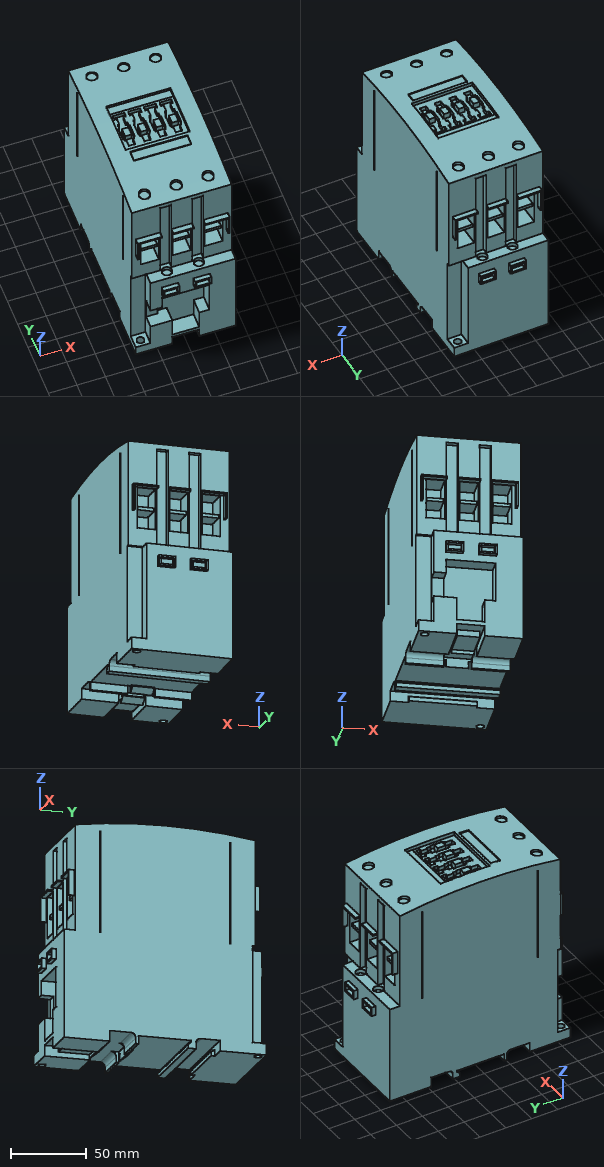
import cadquery as cq

WIDTH = 70.0
HALF_WIDTH = WIDTH / 2
HEIGHT = 152.0
BASE_HALF_LENGTH = 69.8
BASE_HEIGHT = 74.5
HEAD_HALF_LENGTH = 62.0
HEAD_EDGE_HEIGHT = 147.3
POLE_PITCH = 22.3
POLE_POSITIONS = (-POLE_PITCH, 0, POLE_PITCH)
BETWEEN_POLES = (-POLE_PITCH / 2, POLE_PITCH / 2)

SEAM_Y = 44.7
SEAM_WIDTH = 0.6
SEAM_DEPTH = 0.3
SEAM_TOP = 144.1

SLOT_WIDTH = 7.9
SLOT_DEPTH = 4.0
SLOT_TOP = 143.5
SLOT_HOLE_Y = 64.1
SLOT_HOLE_DIAMETER = 7.0
SLOT_HOLE_DEPTH = 3.0
SCREW_HOLE_Y = 51.2
SCREW_HOLE_DIAMETER = 7.6
SCREW_HOLE_FLOOR = 147.0
WINDOW_WIDTH = 12.5
WINDOW_BOTTOM = 87.2
WINDOW_TOP = 115.4
WINDOW_DEPTH = 15.2
CROSSBAR_WIDTH = 11.2
CROSSBAR_BOTTOM = 100.3
CROSSBAR_TOP = 102.6
CROSSBAR_SETBACK = 1.4
BRIM_HALF_WIDTH = 32.2
BRIM_LENGTH = 3.8
BRIM_THICKNESS = 1.0
BRIM_TOP = 116.7
BRIM_BOTTOM = 99.3

FRAME_WIDTH = 11.5
FRAME_BOTTOM = 59.1
FRAME_TOP = 66.1
FRAME_LENGTH = 3.0
FRAME_WALL = 1.2

NOTCH_WIDTH = 10.3
NOTCH_LENGTH = 9.7
LUG_HEIGHT = 7.9
LUG_HOLE_X = 30.1
LUG_HOLE_Y = 65.2
LUG_HOLE_DIAMETER = 5.2

RECESS_DEPTH = 11.0
RECESS_HALF_WIDTH = 16.5
RECESS_BOTTOM = 26.3
RECESS_TOP = 53.8
CHANNEL_HALF_WIDTH = 9.5
CHANNEL_BOTTOM = 10.3
PASSAGE_DEPTH = 8.5
PASSAGE_TOP = 44.0

SEAT_HEIGHT = 7.3
SEAT_FILLET = 3.3
REAR_SEAT = (21.1, 37.7)
FRONT_SEAT = (-38.3, -20.5)
MIDDLE_SEAT = (-18.5, 17.8)
MIDDLE_SEAT_HEIGHT = 5.5
REAR_HOOK_HALF_WIDTH = 22.8
HOOK_SHOULDER = 4.5
HOOK_LIP = 3.0
REAR_HOOK_REACH = 2.6
LEG_HOOK_REACH = 2.1

LATCH_HALF_WIDTH = 7.6
LATCH_TIP_HEIGHT = 4.1
LATCH_FOOT_HEIGHT = 0.5
LATCH_PLATE_BOTTOM = 3.0
LATCH_PLATE_FRONT = -60.8
LATCH_HOOK_LENGTH = 4.5
LATCH_TIPS = (-34.8, -14.0)
LATCH_SHOULDER_SETBACK = 2.1

POCKET_HALF_WIDTH = 22.5
POCKET_FRONT = -15.0
POCKET_BACK = 23.0
POCKET_FLOOR = 149.1
LEDGE_FRONT = 17.3
LEDGE_FLOOR = 149.3
KEYHOLE_PITCH = 11.0
KEYHOLE_COUNT = 4
KEYHOLE_DEPTH = 3.0
KEYHOLE_BACK = 15.7
KEYHOLE_STEPS = ((4.1, 12.6), (2.3, 7.8), (3.3, 4.7), (4.1, -4.3), (3.3, -5.8), (2.3, -10.8))
ACTUATOR_WIDTH = 4.5
ACTUATOR_FRONT = -3.5
ACTUATOR_BACK = 2.7
ACTUATOR_TOP = 150.3
LABEL_HALF_WIDTH = 20.0
LABEL_FRONT = -24.6
LABEL_BACK = -17.3
LABEL_FLOOR = 150.6


def block(x0, x1, y0, y1, z0, z1):
    """Box between two opposite corners."""
    return cq.Workplane("XY").box(x1 - x0, y1 - y0, z1 - z0, centered=False).translate((x0, y0, z0))


def centred_block(x, width, y0, y1, z0, z1):
    """Box whose X extent is centred on x."""
    return block(x - width / 2, x + width / 2, y0, y1, z0, z1)


def cylinder(x, y, diameter, z0, z1):
    return cq.Workplane("XY", origin=(x, y, z0)).circle(diameter / 2).extrude(z1 - z0)


def across(outline, half_width):
    """Prism along X from a closed outline given as (y, z) points."""
    return cq.Workplane("YZ").polyline(outline).close().extrude(half_width, both=True)


def both_ends(shape):
    """The shape on the front end together with its half-turn copy on the rear end."""
    return shape.union(shape.rotate((0, 0, 0), (0, 0, 1), 180))


def make_body():
    """Rectangular base with a shorter head whose top is one wide arc."""
    base = block(-HALF_WIDTH, HALF_WIDTH, -BASE_HALF_LENGTH, BASE_HALF_LENGTH, 0, BASE_HEIGHT)
    head = (
        cq.Workplane("YZ")
        .moveTo(-HEAD_HALF_LENGTH, 0)
        .lineTo(-HEAD_HALF_LENGTH, HEAD_EDGE_HEIGHT)
        .threePointArc((0, HEIGHT), (HEAD_HALF_LENGTH, HEAD_EDGE_HEIGHT))
        .lineTo(HEAD_HALF_LENGTH, 0)
        .close()
        .extrude(HALF_WIDTH, both=True)
    )
    return base.union(head)


def cut_flank_seams(body):
    for side in (-1, 1):
        for end in (-1, 1):
            body = body.cut(
                cq.Workplane("XY")
                .box(2 * SEAM_DEPTH, SEAM_WIDTH, SEAM_TOP - BASE_HEIGHT)
                .translate((side * HALF_WIDTH, end * SEAM_Y, (SEAM_TOP + BASE_HEIGHT) / 2))
            )
    return body


def make_brims():
    """Rain-cover brims over the wire windows, with a side wall at each outer end."""
    y0 = -HEAD_HALF_LENGTH - BRIM_LENGTH
    y1 = -HEAD_HALF_LENGTH
    hood = block(-BRIM_HALF_WIDTH, BRIM_HALF_WIDTH, y0, y1, BRIM_BOTTOM, BRIM_TOP)
    inner_half_width = BRIM_HALF_WIDTH - BRIM_THICKNESS
    hood = hood.cut(
        block(-inner_half_width, inner_half_width, y0, y1, BRIM_BOTTOM, BRIM_TOP - BRIM_THICKNESS)
    )
    for x in BETWEEN_POLES:
        hood = hood.cut(centred_block(x, SLOT_WIDTH, y0, y1, BRIM_BOTTOM, BRIM_TOP))
    return hood


def make_window(x):
    """Wire window of one pole, leaving a crossbar that stands on its back wall."""
    face = -HEAD_HALF_LENGTH
    back = face + WINDOW_DEPTH
    opening = centred_block(x, WINDOW_WIDTH, face, back, WINDOW_BOTTOM, WINDOW_TOP)
    crossbar = centred_block(
        x, CROSSBAR_WIDTH, face + CROSSBAR_SETBACK, back, CROSSBAR_BOTTOM, CROSSBAR_TOP
    )
    return opening.cut(crossbar)


def make_terminal_cuts():
    """Wire windows, blind screw holes and pole slots of the front terminal block."""
    face = -HEAD_HALF_LENGTH
    slot_hole_floor = BASE_HEIGHT - SLOT_HOLE_DEPTH
    cuts = cq.Workplane("XY")
    for x in POLE_POSITIONS:
        cuts = cuts.add(make_window(x))
        cuts = cuts.add(cylinder(x, -SCREW_HOLE_Y, SCREW_HOLE_DIAMETER, SCREW_HOLE_FLOOR, HEIGHT))
    for x in BETWEEN_POLES:
        cuts = cuts.add(centred_block(x, SLOT_WIDTH, face, face + SLOT_DEPTH, BASE_HEIGHT, SLOT_TOP))
        cuts = cuts.add(
            cylinder(x, -SLOT_HOLE_Y, SLOT_HOLE_DIAMETER, slot_hole_floor, BASE_HEIGHT)
        )
    return cuts.combine()


def make_frames():
    """Small rectangular frames, closed behind by the face of the base."""
    y0 = -BASE_HALF_LENGTH - FRAME_LENGTH
    y1 = -BASE_HALF_LENGTH
    frames = cq.Workplane("XY")
    for x in BETWEEN_POLES:
        outer = centred_block(x, FRAME_WIDTH, y0, y1, FRAME_BOTTOM, FRAME_TOP)
        inner = centred_block(
            x, FRAME_WIDTH - 2 * FRAME_WALL, y0, y1, FRAME_BOTTOM + FRAME_WALL, FRAME_TOP - FRAME_WALL
        )
        frames = frames.add(outer.cut(inner))
    return frames.combine()


def make_mounting_notch():
    """Corner notch that leaves a low lug, with the hole through that lug."""
    notch = block(
        -HALF_WIDTH,
        -HALF_WIDTH + NOTCH_WIDTH,
        -BASE_HALF_LENGTH,
        -BASE_HALF_LENGTH + NOTCH_LENGTH,
        LUG_HEIGHT,
        BASE_HEIGHT,
    )
    return notch.union(cylinder(-LUG_HOLE_X, -LUG_HOLE_Y, LUG_HOLE_DIAMETER, 0, LUG_HEIGHT))


def make_front_recess():
    """Recess with a narrower channel below it and a passage into the mounting notch."""
    face = -BASE_HALF_LENGTH
    floor = face + RECESS_DEPTH
    recess = block(-RECESS_HALF_WIDTH, RECESS_HALF_WIDTH, face, floor, RECESS_BOTTOM, RECESS_TOP)
    channel = block(-CHANNEL_HALF_WIDTH, CHANNEL_HALF_WIDTH, face, floor, CHANNEL_BOTTOM, RECESS_TOP)
    passage = block(-HALF_WIDTH, 0, face, face + PASSAGE_DEPTH, RECESS_BOTTOM, PASSAGE_TOP)
    return recess.union(channel).union(passage)


def make_rail_seats():
    rear = block(-HALF_WIDTH, HALF_WIDTH, *REAR_SEAT, 0, SEAT_HEIGHT)
    front = block(-HALF_WIDTH, HALF_WIDTH, *FRONT_SEAT, 0, SEAT_HEIGHT)
    middle = block(-HALF_WIDTH, HALF_WIDTH, *MIDDLE_SEAT, 0, MIDDLE_SEAT_HEIGHT)
    rear = rear.edges("|X and >Z and <Y").fillet(SEAT_FILLET)
    front = front.edges("|X and >Z and >Y").fillet(SEAT_FILLET)
    return rear.union(front).union(middle)


def make_fixed_hook(wall_y, reach, half_width):
    """Hook that grows from a wall towards -Y, with a sloped upper side."""
    outline = [
        (wall_y, 0),
        (wall_y - reach, 0),
        (wall_y - reach, HOOK_LIP),
        (wall_y, HOOK_SHOULDER),
    ]
    return across(outline, half_width)


def make_latch_slot():
    """Slot for the latch, from the front face to the middle seat."""
    return block(
        -CHANNEL_HALF_WIDTH, CHANNEL_HALF_WIDTH, -BASE_HALF_LENGTH, MIDDLE_SEAT[0], 0, SEAT_HEIGHT
    )


def make_latch():
    """Latch plate and its two wedge hooks, all hanging from the roof of the slot."""
    plate = block(
        -LATCH_HALF_WIDTH,
        LATCH_HALF_WIDTH,
        LATCH_PLATE_FRONT,
        FRONT_SEAT[0],
        LATCH_PLATE_BOTTOM,
        SEAT_HEIGHT,
    )
    for tip in LATCH_TIPS:
        shoulder = tip - LATCH_SHOULDER_SETBACK
        foot = tip - LATCH_HOOK_LENGTH
        outline = [
            (tip, LATCH_TIP_HEIGHT),
            (tip, HOOK_SHOULDER),
            (shoulder, HOOK_SHOULDER),
            (shoulder, SEAT_HEIGHT),
            (foot, SEAT_HEIGHT),
            (foot, LATCH_FOOT_HEIGHT),
        ]
        plate = plate.union(across(outline, LATCH_HALF_WIDTH))
    return plate


def make_keyhole(x):
    """Stepped keyhole below the pocket floor."""
    floor = POCKET_FLOOR - KEYHOLE_DEPTH
    back = KEYHOLE_BACK
    keyhole = cq.Workplane("XY")
    for half_width, front in KEYHOLE_STEPS:
        keyhole = keyhole.union(centred_block(x, 2 * half_width, front, back, floor, POCKET_FLOOR))
        back = front
    return keyhole


def make_actuator(x):
    """Block standing on the keyhole floor and rising slightly above the pocket floor."""
    floor = POCKET_FLOOR - KEYHOLE_DEPTH
    return centred_block(x, ACTUATOR_WIDTH, ACTUATOR_FRONT, ACTUATOR_BACK, floor, ACTUATOR_TOP)


def cut_top(body):
    pocket = block(-POCKET_HALF_WIDTH, POCKET_HALF_WIDTH, POCKET_FRONT, LEDGE_FRONT, POCKET_FLOOR, HEIGHT)
    ledge = block(-POCKET_HALF_WIDTH, POCKET_HALF_WIDTH, LEDGE_FRONT, POCKET_BACK, LEDGE_FLOOR, HEIGHT)
    label = block(-LABEL_HALF_WIDTH, LABEL_HALF_WIDTH, LABEL_FRONT, LABEL_BACK, LABEL_FLOOR, HEIGHT)
    body = body.cut(pocket).cut(ledge).cut(label)
    for index in range(KEYHOLE_COUNT):
        x = (index - (KEYHOLE_COUNT - 1) / 2) * KEYHOLE_PITCH
        body = body.cut(make_keyhole(x)).union(make_actuator(x))
    return body


result = cut_flank_seams(make_body())
result = result.cut(both_ends(make_mounting_notch()))
result = result.cut(both_ends(make_terminal_cuts()))
result = result.union(both_ends(make_brims()))
result = result.union(both_ends(make_frames()))
result = result.cut(make_front_recess())
result = result.cut(make_rail_seats()).cut(make_latch_slot())
result = result.union(make_fixed_hook(REAR_SEAT[1], REAR_HOOK_REACH, REAR_HOOK_HALF_WIDTH))
result = result.union(make_fixed_hook(MIDDLE_SEAT[1], LEG_HOOK_REACH, HALF_WIDTH))
result = result.union(make_latch())
result = cut_top(result)